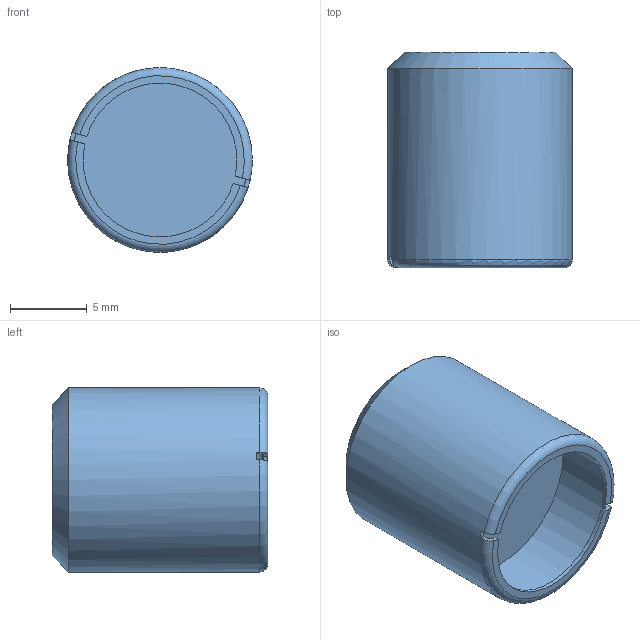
import cadquery as cq

outer_diameter = 12.0
length = 14.02

end_chamfer = 1.08

cavity_diameter = 11.48
cavity_floor_depth = 4.75
wall_thickness = (outer_diameter - cavity_diameter) / 2

mouth_diameter = 10.0
lip_thickness = wall_thickness
rim_radius = 2 * wall_thickness
lip_root_radius = rim_radius

slot_width = 0.5
slot_depth = 0.75
slot_angle = 15.0
slot_overrun = 1.0


def cylinder_along_y(diameter, start, end):
    """Solid cylinder on the Y axis between two Y positions."""
    profile = cq.Workplane("XZ", origin=(0, start, 0)).circle(diameter / 2)
    return profile.extrude(start - end)


def make_body():
    """Outer shape: cylinder with a chamfered +Y end and a rounded -Y rim."""
    body = cylinder_along_y(outer_diameter, 0, length)
    body = body.faces(">Y").edges().chamfer(end_chamfer)
    return body.faces("<Y").edges().fillet(rim_radius)


def make_cavity():
    """Mouth through the lip, opening into a wider chamber rounded behind the lip."""
    mouth = cylinder_along_y(mouth_diameter, 0, lip_thickness)
    chamber = cylinder_along_y(cavity_diameter, lip_thickness, cavity_floor_depth)
    chamber = chamber.faces("<Y").edges().fillet(lip_root_radius)
    return mouth.union(chamber)


def make_slot_bar():
    """Bar across the full diameter, which cuts both rim slots."""
    bar_length = outer_diameter + 2 * slot_overrun
    bar = cq.Workplane("XY").box(bar_length, slot_depth, slot_width, centered=(True, False, True))
    return bar.rotate((0, 0, 0), (0, 1, 0), slot_angle)


result = make_body().cut(make_cavity()).cut(make_slot_bar())